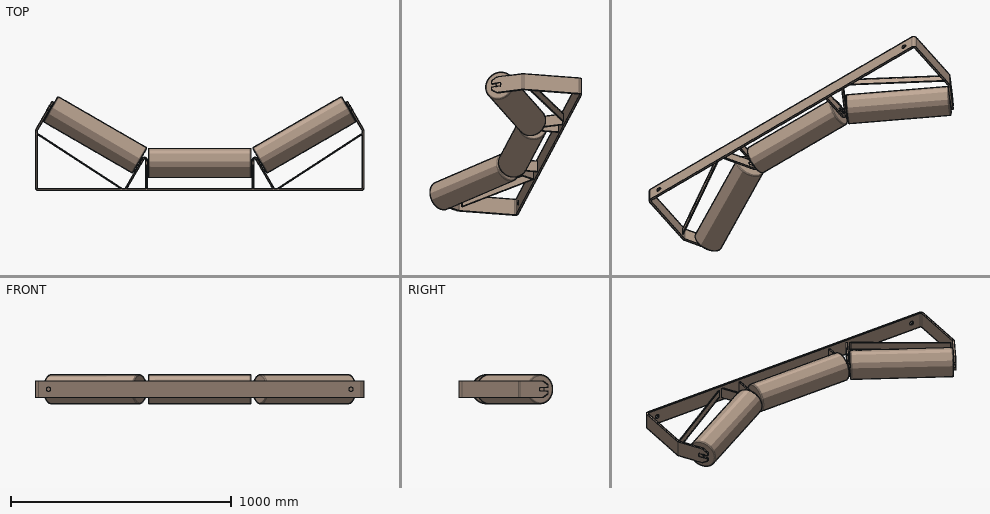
import cadquery as cq
import math

bar_thickness = 9.0
bar_height = 76.0

frame_length = 1490.0
side_height = 274.0
arm_length = 150.0
lean_angle = 30.0
frame_bend_radius = 15.0
tip_chamfer_width = 16.0
tip_chamfer_run = 25.0
mount_hole_diameter = 20.0
mount_hole_x = 685.0

roller_diameter = 133.0
roller_length = 466.0
roller_edge_radius = 5.0
shaft_diameter = 24.0
shaft_flat_width = 16.0
center_roller_y = 125.0
wing_roller_x = 474.0
wing_roller_y = 253.0
roller_end_gap = 5.0

bracket_thickness = 7.0
bracket_height = 50.0
bracket_top_y = 152.0
bracket_bend_radius = 12.0

brace_thickness = 5.0
brace_height = 37.0
brace_foot_x = 344.0
brace_head_y = 261.0

half_length = frame_length / 2
lean = math.radians(lean_angle)
shaft_length = roller_length + 2 * (roller_end_gap + bar_thickness)
cutter_length = shaft_length + 2 * bar_thickness
slot_length = roller_diameter


def offset_corners(path, distance):
    """Shift an open XY path sideways by a distance to its left, with mitred corners."""
    headings = [math.atan2(b[1] - a[1], b[0] - a[0]) for a, b in zip(path, path[1:])]
    before = [headings[0]] + headings
    after = headings + [headings[-1]]
    corners = []
    for (x, y), h0, h1 in zip(path, before, after):
        normal = (h0 + h1) / 2 + math.pi / 2
        reach = distance / math.cos((h1 - h0) / 2)
        corners.append((x + reach * math.cos(normal), y + reach * math.sin(normal)))
    return corners


def bent_bar(outside, thickness, height, bend_radius=0.0):
    """Flat bar on edge; its outside face follows the path and its metal lies to the left."""
    inside = offset_corners(outside, thickness)
    bar = cq.Workplane("XY").polyline(outside + inside[::-1]).close().extrude(height / 2, both=True)
    for path, radius in ((outside, bend_radius), (inside, bend_radius - thickness)):
        for x, y in path[1:-1]:
            bar = bar.edges(cq.selectors.NearestToPointSelector((x, y, 0))).fillet(radius)
    return bar


def place_center(shape):
    """Move a shape made along X at the origin onto the center roller's axis."""
    return shape.translate((0, center_roller_y, 0))


def place_wing(shape, side):
    """Move a shape made along X at the origin onto the axis of the wing roller on one side."""
    tilted = shape.rotate((0, 0, 0), (0, 0, 1), side * lean_angle)
    return tilted.translate((side * wing_roller_x, wing_roller_y, 0))


def make_roller():
    drum = cq.Workplane("YZ").workplane(offset=-roller_length / 2).circle(roller_diameter / 2)
    drum = drum.extrude(roller_length).faces("|X").edges().fillet(roller_edge_radius)
    shaft = cq.Workplane("YZ").circle(shaft_diameter / 2).extrude(shaft_length / 2, both=True)
    flats = cq.Workplane("XY").box(shaft_length, shaft_diameter, shaft_flat_width)
    return drum.union(shaft.intersect(flats))


def make_slot_cutter():
    """Open slots for both shaft ends: rounded seat around the shaft, running out towards +Y."""
    seat = cq.Workplane("YZ").circle(shaft_diameter / 2).extrude(cutter_length / 2, both=True)
    seat = seat.intersect(cq.Workplane("XY").box(cutter_length, shaft_diameter, shaft_flat_width))
    run = cq.Workplane("XY").box(cutter_length, slot_length, shaft_flat_width)
    return seat.union(run.translate((0, slot_length / 2, 0)))


def make_frame():
    tip_x = half_length - arm_length * math.sin(lean)
    tip_y = side_height + arm_length * math.cos(lean)
    right = [(half_length, 0), (half_length, side_height), (tip_x, tip_y)]
    left = [(-x, y) for x, y in reversed(right)]
    frame = bent_bar(left + right, bar_thickness, bar_height, frame_bend_radius)
    for side in (-1, 1):
        for level in (-1, 1):
            edge_z = level * bar_height / 2
            chamfer_z = edge_z - level * tip_chamfer_width
            corner = (cq.Workplane("YZ")
                      .polyline([(0, edge_z), (-tip_chamfer_run, edge_z), (0, chamfer_z)]).close()
                      .extrude(2 * bar_thickness, both=True))
            corner = corner.rotate((0, 0, 0), (0, 0, 1), side * lean_angle)
            frame = frame.cut(corner.translate((side * tip_x, tip_y, 0)))
        frame = frame.cut(place_wing(make_slot_cutter(), side))
    holes = (cq.Workplane("XZ").pushPoints([(-mount_hole_x, 0), (mount_hole_x, 0)])
             .circle(mount_hole_diameter / 2).extrude(-bar_thickness))
    return frame.cut(holes)


def frame_interior():
    """Space above the base and between the two sides."""
    width = frame_length - 2 * bar_thickness
    return (cq.Workplane("XY").box(width, side_height, bar_height)
            .translate((0, bar_thickness + side_height / 2, 0)))


def make_bracket(side):
    leg_x = roller_length / 2 + roller_end_gap
    bend_x = leg_x + bracket_bend_radius
    bend_y = bracket_top_y - bracket_bend_radius
    apex_y = bend_y + bracket_bend_radius / math.tan(lean / 2)
    foot_x = leg_x + apex_y * math.tan(lean)
    path = [(foot_x, 0), (leg_x, apex_y), (leg_x, 0)]
    bar = bent_bar(path, bracket_thickness, bracket_height, bracket_bend_radius)
    if side < 0:
        bar = bar.mirror("YZ")
    bar = bar.intersect(frame_interior())
    bar = bar.cut(place_center(make_slot_cutter()))
    return bar.cut(place_wing(make_slot_cutter(), side))


def make_brace(side):
    path = [(brace_foot_x, 0), (half_length, brace_head_y)]
    bar = bent_bar(path, brace_thickness, brace_height)
    if side < 0:
        bar = bar.mirror("YZ")
    return bar.intersect(frame_interior())


bodies = [make_frame(), place_center(make_roller())]
for side in (-1, 1):
    bodies += [place_wing(make_roller(), side), make_bracket(side), make_brace(side)]
result = cq.Compound.makeCompound([body.solids().val() for body in bodies])